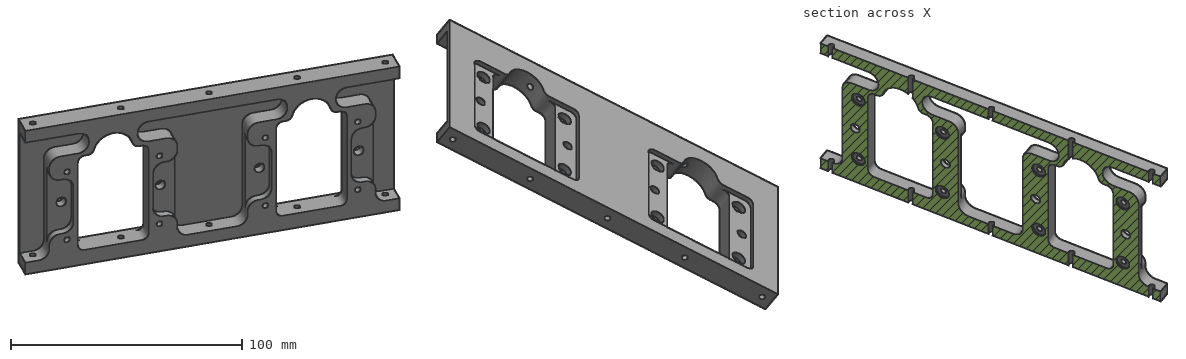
import cadquery as cq

THICKNESS = 10.0
LENGTH = 169.8
HEIGHT = 74.0

WALL = 2.0
FLANGE = 6.1
NOTCH_START_X = 6.5
RIB_RADIUS = 5.0

MOUNT_SPACING = 90.0
MOUNT_HOLE_Z = 31.8
RECESS_WIDTH = 54.0
RECESS_TOP = 56.0
RECESS_BOTTOM = 7.5
RECESS_DEPTH = WALL
OPENING_WIDTH = 32.1
CORNER_RADIUS = 3.0
DOME_RADIUS = 9.0
DOME_NECK_RADIUS = 3.0

BOSS_HALF = RECESS_WIDTH / 2 + WALL
BOSS_TOP = 57.7
RIDGE_HALF = DOME_RADIUS + WALL
NOTCH_FLOOR_Y = OPENING_WIDTH / 2 + WALL
NOTCH_HALF_HEIGHT = 14.0

SCREW_DIAMETER = 2.5
SCREW_HEAD_DIAMETER = 6.5
SCREW_HEAD_DEPTH = 2.9
SCREW_SPACING_Y = 42.0
SCREW_SPACING_Z = 35.0
PIN_DIAMETER = 4.4
PIN_SPACING = 45.0
EDGE_HOLE_DIAMETER = 2.5
EDGE_HOLE_COUNT = 5
EDGE_HOLE_MARGIN = 5.0
EDGE_HOLE_PITCH = (LENGTH - 2 * EDGE_HOLE_MARGIN) / (EDGE_HOLE_COUNT - 1)

SELECT_MARGIN = 1.7

MOUNT_CENTRES = (-MOUNT_SPACING / 2, MOUNT_SPACING / 2)


def block(x0, x1, y0, y1, z0, z1):
    """Box between two opposite corners."""
    return cq.Workplane("XY").box(x1 - x0, y1 - y0, z1 - z0, centered=False).translate((x0, y0, z0))


def rear_layer(x0, x1, notched):
    """Flanges and bosses between two depths, with all inner corners rounded."""
    half = LENGTH / 2
    layer = block(x0, x1, -half, half, 0, FLANGE)
    layer = layer.union(block(x0, x1, -half, half, HEIGHT - FLANGE, HEIGHT))
    for y in MOUNT_CENTRES:
        layer = layer.union(block(x0, x1, y - BOSS_HALF, y + BOSS_HALF, 0, BOSS_TOP))
        layer = layer.union(block(x0, x1, y - RIDGE_HALF, y + RIDGE_HALF, 0, HEIGHT))
        if notched:
            z0 = MOUNT_HOLE_Z - NOTCH_HALF_HEIGHT
            z1 = MOUNT_HOLE_Z + NOTCH_HALF_HEIGHT
            layer = layer.cut(block(x0, x1, y - BOSS_HALF, y - NOTCH_FLOOR_Y, z0, z1))
            layer = layer.cut(block(x0, x1, y + NOTCH_FLOOR_Y, y + BOSS_HALF, z0, z1))
    inner = cq.selectors.BoxSelector(
        (x0 - SELECT_MARGIN, -half + SELECT_MARGIN, FLANGE / 2),
        (x1 + SELECT_MARGIN, half - SELECT_MARGIN, HEIGHT - FLANGE / 2),
    )
    return layer.edges("|X").edges(inner).fillet(RIB_RADIUS)


def rounded_pocket(y, width, depth):
    """Rounded rectangle spanning the recess height, cut from the front face."""
    pocket = block(0, depth, y - width / 2, y + width / 2, RECESS_BOTTOM, RECESS_TOP)
    return pocket.edges("|X").fillet(CORNER_RADIUS)


def opening(y):
    """Through window with a dome on top, its neck rounded into the window."""
    window = rounded_pocket(y, OPENING_WIDTH, THICKNESS)
    dome = (
        cq.Workplane("YZ")
        .center(y, RECESS_TOP)
        .moveTo(-DOME_RADIUS, 0)
        .threePointArc((0, DOME_RADIUS), (DOME_RADIUS, 0))
        .lineTo(DOME_RADIUS, -DOME_RADIUS)
        .lineTo(-DOME_RADIUS, -DOME_RADIUS)
        .close()
        .extrude(THICKNESS)
    )
    reach = DOME_RADIUS + DOME_NECK_RADIUS
    neck = cq.selectors.BoxSelector(
        (-SELECT_MARGIN, y - reach, RECESS_TOP - DOME_NECK_RADIUS / 2),
        (THICKNESS + SELECT_MARGIN, y + reach, RECESS_TOP + DOME_NECK_RADIUS / 2),
    )
    return window.union(dome).edges("|X").edges(neck).fillet(DOME_NECK_RADIUS)


def mount_holes(y):
    """Four counterbored screw holes and two pin holes."""
    face = cq.Workplane("YZ").center(y, MOUNT_HOLE_Z)
    screws = face.rarray(SCREW_SPACING_Y, SCREW_SPACING_Z, 2, 2)
    holes = screws.circle(SCREW_DIAMETER / 2).extrude(THICKNESS)
    heads = screws.circle(SCREW_HEAD_DIAMETER / 2).extrude(RECESS_DEPTH + SCREW_HEAD_DEPTH)
    pins = face.rarray(PIN_SPACING, 1.7, 2, 1).circle(PIN_DIAMETER / 2).extrude(THICKNESS)
    return holes.union(heads).union(pins)


plate = block(0, WALL, -LENGTH / 2, LENGTH / 2, 0, HEIGHT)
plate = plate.union(rear_layer(WALL, NOTCH_START_X, notched=False))
plate = plate.union(rear_layer(NOTCH_START_X, THICKNESS, notched=True))

for mount_y in MOUNT_CENTRES:
    plate = plate.cut(rounded_pocket(mount_y, RECESS_WIDTH, RECESS_DEPTH))
    plate = plate.cut(opening(mount_y))
    plate = plate.cut(mount_holes(mount_y))

edge_holes = (
    cq.Workplane("XY")
    .center(THICKNESS / 2, 0)
    .rarray(1.7, EDGE_HOLE_PITCH, 1, EDGE_HOLE_COUNT)
    .circle(EDGE_HOLE_DIAMETER / 2)
    .extrude(HEIGHT)
)

result = plate.cut(edge_holes)